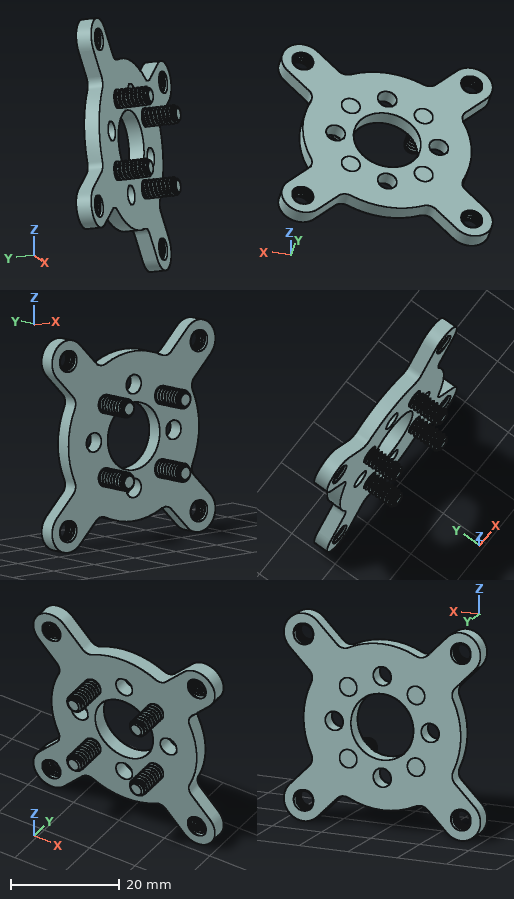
import cadquery as cq
import math

PLATE_THICKNESS = 3.0
DISC_RADIUS = 16.0
BORE_DIAMETER = 12.7
ARM_TIP_RADIUS = 4.0
ARM_TIP_OFFSET = 20.0 - ARM_TIP_RADIUS
ARM_TIP_DISTANCE = math.hypot(ARM_TIP_OFFSET, ARM_TIP_OFFSET)
ARM_FILLET_RADIUS = 2.0

BOLT_CIRCLE_RADIUS = 9.75
OPEN_HOLE_DIAMETER = 3.6
AXIS_ANGLES = [0, 90, 180, 270]
DIAGONAL_ANGLES = [45, 135, 225, 315]

THREAD_PITCH = 0.8
FLANK_SLOPE = math.tan(math.radians(30))

SCREW_DIAMETER = 3.5
SCREW_ROOT_DIAMETER = 2.7
SCREW_CREST_WIDTH = 0.1
SCREW_REACH = 6.65
SCREW_TIP_CHAMFER = 0.55

TAPPED_MAJOR_DIAMETER = 4.0
TAPPED_MINOR_DIAMETER = 3.3
TAPPED_ROOT_WIDTH = 0.2
COUNTERSINK_DIAMETER = 4.08


def on_circle(shape, radius, angle):
    """Move a shape from the Y axis to a place on a circle about it."""
    x = radius * math.cos(math.radians(angle))
    z = radius * math.sin(math.radians(angle))
    return shape.translate((x, 0, z))


def plate_cylinder(diameter):
    """Cylinder on the Y axis that reaches through the plate's thickness."""
    return cq.Workplane("XZ").circle(diameter / 2).extrude(-PLATE_THICKNESS)


def threaded_rod(major_diameter, minor_diameter, outer_width, length):
    """Right-hand threaded rod along +Z; outer_width is the axial width of the flat at the major diameter.

    A cut square to the axis shows an outer arc and an inner arc joined by two spiral flanks.
    Twisting that outline by one full turn per pitch makes the thread.
    """
    outer = major_diameter / 2
    inner = minor_diameter / 2
    outer_half_angle = math.pi * outer_width / THREAD_PITCH
    flank_angle = 2 * math.pi * (outer - inner) * FLANK_SLOPE / THREAD_PITCH

    def flank_point(fraction, side):
        radius = outer + fraction * (inner - outer)
        angle = side * (outer_half_angle + fraction * flank_angle)
        return radius * math.cos(angle), radius * math.sin(angle)

    outline = (
        cq.Workplane("XY")
        .moveTo(*flank_point(0, -1))
        .threePointArc((outer, 0), flank_point(0, 1))
        .threePointArc(flank_point(0.5, 1), flank_point(1, 1))
        .threePointArc((-inner, 0), flank_point(1, -1))
        .threePointArc(flank_point(0.5, -1), flank_point(0, -1))
        .close()
    )
    return outline.twistExtrude(length, 360 * length / THREAD_PITCH)


def lay_forward(shape):
    """Turn a shape standing along +Z so that it points along -Y."""
    return shape.rotate((0, 0, 0), (1, 0, 0), 90)


def make_plate_blank():
    """Disc and arms, with the inner corners between them rounded."""
    arm = (
        cq.Workplane("XZ")
        .center(ARM_TIP_DISTANCE / 2, 0)
        .rect(ARM_TIP_DISTANCE, 2 * ARM_TIP_RADIUS)
        .extrude(-PLATE_THICKNESS)
        .union(on_circle(plate_cylinder(2 * ARM_TIP_RADIUS), ARM_TIP_DISTANCE, 0))
    )
    blank = plate_cylinder(2 * DISC_RADIUS)
    for angle in DIAGONAL_ANGLES:
        blank = blank.union(arm.rotate((0, 0, 0), (0, 1, 0), -angle))

    along_arm = math.sqrt(DISC_RADIUS**2 - ARM_TIP_RADIUS**2)
    near = (along_arm - ARM_TIP_RADIUS) / math.sqrt(2)
    far = (along_arm + ARM_TIP_RADIUS) / math.sqrt(2)
    for x, z in ((near, far), (far, near)):
        for x_side, z_side in ((1, 1), (-1, 1), (-1, -1), (1, -1)):
            corner = cq.selectors.NearestToPointSelector((x_side * x, PLATE_THICKNESS / 2, z_side * z))
            blank = blank.edges("|Y").edges(corner).fillet(ARM_FILLET_RADIUS)
    return blank


def make_tapped_hole_cutter():
    """Thread and both countersinks of one tapped hole, on the Y axis."""
    thread = threaded_rod(TAPPED_MAJOR_DIAMETER, TAPPED_MINOR_DIAMETER, TAPPED_ROOT_WIDTH, PLATE_THICKNESS)
    cutter = lay_forward(thread).translate((0, PLATE_THICKNESS, 0))
    countersink_depth = (COUNTERSINK_DIAMETER - TAPPED_MINOR_DIAMETER) / 2
    for face_y, inward in ((0, 1), (PLATE_THICKNESS, -1)):
        countersink = cq.Solid.makeCone(
            COUNTERSINK_DIAMETER / 2,
            TAPPED_MINOR_DIAMETER / 2,
            countersink_depth,
            pnt=cq.Vector(0, face_y, 0),
            dir=cq.Vector(0, inward, 0),
        )
        cutter = cutter.union(cq.Workplane(countersink))
    return cutter


def make_plate():
    plate = make_plate_blank().cut(plate_cylinder(BORE_DIAMETER))
    for angle in AXIS_ANGLES:
        plate = plate.cut(on_circle(plate_cylinder(OPEN_HOLE_DIAMETER), BOLT_CIRCLE_RADIUS, angle))
    for angle in DIAGONAL_ANGLES:
        plate = plate.cut(on_circle(plate_cylinder(SCREW_DIAMETER), BOLT_CIRCLE_RADIUS, angle))
    tapped_hole_cutter = make_tapped_hole_cutter()
    for angle in DIAGONAL_ANGLES:
        plate = plate.cut(on_circle(tapped_hole_cutter, ARM_TIP_DISTANCE, angle))
    return plate


def make_screw():
    """Screw on the Y axis: threaded in front of the plate, with a plain shank that fills its hole."""
    thread = threaded_rod(SCREW_DIAMETER, SCREW_ROOT_DIAMETER, SCREW_CREST_WIDTH, SCREW_REACH)
    clearance = 0.05
    envelope = (
        cq.Workplane("XY")
        .circle(SCREW_DIAMETER / 2 + clearance)
        .extrude(SCREW_REACH)
        .faces(">Z")
        .chamfer(SCREW_TIP_CHAMFER + clearance)
    )
    return lay_forward(thread.intersect(envelope)).union(plate_cylinder(SCREW_DIAMETER))


plate = make_plate()
screw = make_screw()
screws = [on_circle(screw, BOLT_CIRCLE_RADIUS, angle) for angle in DIAGONAL_ANGLES]
result = cq.Compound.makeCompound([plate.val(), *[placed.val() for placed in screws]])